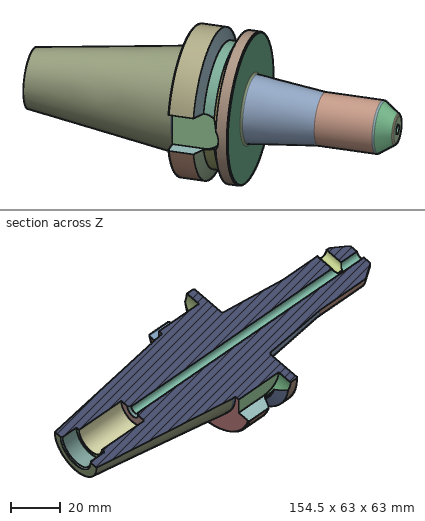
import cadquery as cq

total_length = 154.5

taper_length = 65.3
gauge_diameter = 44.5
taper_ratio = 7 / 24
shank_end_diameter = gauge_diameter - taper_length * taper_ratio

flange_diameter = 63.0
flange_start = 66.7
flange_end = 92.3
flange_chamfer = 0.5
groove_diameter = 52.8
groove_start = 77.5
groove_floor_start = 80.1
groove_floor_end = 84.8
groove_end = 87.3

slot_width = 16.2
slot_floor = 24.2
slot_end = 88.3

nose_root_diameter = 28.7
nose_root_fillet = 1.0
nose_diameter = 22.1
nose_taper_end = 122.5
tip_diameter = 12.4
tip_cone_length = 7.1
tip_shoulder_fillet = 1.5
tip_end_fillet = 1.4

mouth_diameter = 17.0
mouth_chamfer = 0.6
mouth_depth = 8.0
inner_diameter = 13.7
inner_depth = 30.9
coolant_diameter = 4.0
countersink_diameter = 6.3

screw_diameter = 4.8
screw_position = 143.3


def revolve_about_axis(outline):
    """Revolve a closed (x, radius) outline about the X axis."""
    return cq.Workplane("XY").polyline(outline).close().revolve(360, (0, 0), (1, 0))


def round_edge_at(body, x, diameter, fillet_radius):
    """Fillet the circular edge of the given diameter at position x."""
    tolerance = 0.08
    half_size = diameter / 2 + tolerance
    corner = (x - tolerance, -half_size, -half_size)
    opposite_corner = (x + tolerance, half_size, half_size)
    edges = body.edges("%CIRCLE").edges(cq.selectors.BoxSelector(corner, opposite_corner))
    edges = edges.filter(lambda edge: abs(2 * edge.radius() - diameter) < tolerance)
    return edges.fillet(fillet_radius)


def make_body():
    """Shank, flange and nose as one turned body."""
    gauge_radius = gauge_diameter / 2
    flange_radius = flange_diameter / 2
    groove_radius = groove_diameter / 2
    nose_radius = nose_diameter / 2
    tip_start = total_length - tip_cone_length
    body = revolve_about_axis([
        (0, 0),
        (0, shank_end_diameter / 2),
        (taper_length, gauge_radius),
        (flange_start, gauge_radius),
        (flange_start, flange_radius - flange_chamfer),
        (flange_start + flange_chamfer, flange_radius),
        (groove_start, flange_radius),
        (groove_floor_start, groove_radius),
        (groove_floor_end, groove_radius),
        (groove_end, flange_radius),
        (flange_end - flange_chamfer, flange_radius),
        (flange_end, flange_radius - flange_chamfer),
        (flange_end, nose_root_diameter / 2),
        (nose_taper_end, nose_radius),
        (tip_start, nose_radius),
        (total_length, tip_diameter / 2),
        (total_length, 0),
    ])
    body = round_edge_at(body, flange_end, nose_root_diameter, nose_root_fillet)
    body = round_edge_at(body, tip_start, nose_diameter, tip_shoulder_fillet)
    return round_edge_at(body, total_length, tip_diameter, tip_end_fillet)


def make_drive_slot(side):
    """Slot cutter with a round end, on the +Y (side = 1) or -Y (side = -1) flank."""
    slot_radius = slot_width / 2
    arc_center = slot_end - slot_radius
    profile = (
        cq.Workplane("XZ", origin=(0, side * slot_floor, 0))
        .moveTo(flange_start, -slot_radius)
        .lineTo(arc_center, -slot_radius)
        .threePointArc((slot_end, 0), (arc_center, slot_radius))
        .lineTo(flange_start, slot_radius)
        .close()
    )
    return profile.extrude(-side * flange_diameter / 2)


def make_axial_bore():
    """Stepped cutter running through the whole length."""
    mouth_radius = mouth_diameter / 2
    inner_radius = inner_diameter / 2
    coolant_radius = coolant_diameter / 2
    countersink_radius = countersink_diameter / 2
    countersink_end = inner_depth + countersink_radius - coolant_radius
    return revolve_about_axis([
        (0, 0),
        (0, mouth_radius + mouth_chamfer),
        (mouth_chamfer, mouth_radius),
        (mouth_depth, mouth_radius),
        (mouth_depth, inner_radius),
        (inner_depth, inner_radius),
        (inner_depth, countersink_radius),
        (countersink_end, coolant_radius),
        (total_length, coolant_radius),
        (total_length, 0),
    ])


def make_screw_hole():
    """Radial cutter from the axis out through the +Y side of the nose."""
    return (
        cq.Workplane("XZ", origin=(screw_position, 0, 0))
        .circle(screw_diameter / 2)
        .extrude(-nose_diameter)
    )


result = make_body()
for slot_side in (-1, 1):
    result = result.cut(make_drive_slot(slot_side))
result = result.cut(make_axial_bore())
result = result.cut(make_screw_hole())